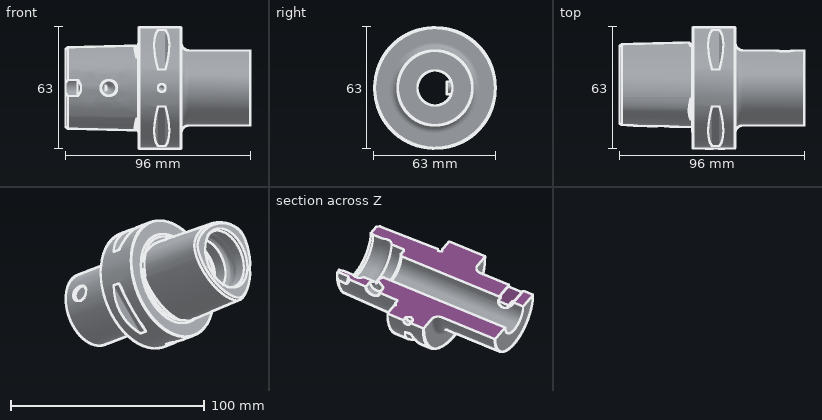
import cadquery as cq
import math


length = 96.0
front_x = -length / 2
back_x = length / 2
flange_front_x = -10.0
flange_back_x = 12.1

lobe_height = 1.6
lobe_count = 3
spline_steps = 8
shank_radius = 22.0
taper = 1 / 40
taper_end_x = -12.1
front_chamfer_length = 1.4
front_chamfer_depth = 1.1
neck_radius = 22.7

flange_radius = 31.5
flange_front_chamfer = 0.3
flange_back_chamfer = 0.5
boss_front_x = -10.4
boss_groove_depth = 0.5
boss_groove_width = 1.4

round_shank_radius = 19.5
round_shank_chamfer = 0.3
back_fillet_radius = 3.9

mouth_radius = 32.0 / 2
mouth_chamfer_depth = 1.9
lip_radius = 15.4
lip_depth = 7.3
gripper_groove_radius = 16.0
groove_start_depth = 9.9
groove_end_depth = 11.0
groove_fillet_radius = 2.0
entry_angle = math.radians(16)
exit_angle = math.radians(50)
socket_radius = 28.0 / 2
socket_corner = 0.5
floor_depth = 21.4
bore_radius = 18.0 / 2
bore_chamfer = 1.2

keyway_radius = 6.7
keyway_floor = 17.9
keyway_length = 6.4

blind_hole_x = -25.5
blind_hole_radius = 8.0 / 2
blind_hole_mouth_radius = 4.4
blind_hole_mouth = 20.1
blind_hole_wall_end = 15.7
drill_half_angle = math.radians(59)

rim_feature_x = 1.9
dimple_radius = 4.0 / 2
dimple_wall_end = 28.6
groove_floor = 27.9
groove_floor_width = 3.7
groove_flank_angle = math.radians(30)
groove_corner_radius = 0.5
groove_angles = (45, 135, 225, 315)

screw_x = 37.7
screw_diameter = 8.1
screw_hole_mouth_radius = 4.6
screw_point_diameter = 6.7
screw_point_chamfer = 0.3
screw_tip_y = 6.0
screw_shoulder_y = 9.6
screw_head_y = 18.2

cut_margin = 1.9


def revolve_about_x(profile):
    """Revolve a closed XY profile about the X axis."""
    return profile.close().revolve(360, (0, 0, 0), (1, 0, 0))


def revolve_about_y(profile):
    """Revolve a closed XY profile about the Y axis."""
    return profile.close().revolve(360, (0, 0, 0), (0, 1, 0))


def lobe_point(mean_radius, angle):
    """Point (Y, Z) where the normal of the polygon curve has this angle; one lobe points to +Y."""
    support = mean_radius + lobe_height * math.cos(lobe_count * angle)
    slope = -lobe_count * lobe_height * math.sin(lobe_count * angle)
    return (
        support * math.cos(angle) - slope * math.sin(angle),
        support * math.sin(angle) + slope * math.cos(angle),
    )


def lobed_wire(x, mean_radius):
    """Closed polygon curve in the plane at x, made of one edge per lobe and per flat."""
    span = math.pi / lobe_count
    edges = []
    for index in range(2 * lobe_count):
        start = (index - 0.5) * span
        angles = [start + step * span / spline_steps for step in range(spline_steps + 1)]
        edges.append(cq.Edge.makeSpline([cq.Vector(x, *lobe_point(mean_radius, a)) for a in angles]))
    return cq.Wire.assembleEdges(edges)


def lobed_section(start_x, start_radius, end_x, end_radius):
    """Solid between two polygon curves of different mean radius."""
    wires = [lobed_wire(start_x, start_radius), lobed_wire(end_x, end_radius)]
    return cq.Workplane(cq.Solid.makeLoft(wires, True))


def make_lobed_shank():
    """Tapered shank with a chamfered front edge, its lobes turned down to the neck radius."""
    chamfer_x = front_x + front_chamfer_length
    chamfer_radius = shank_radius - taper * (taper_end_x - chamfer_x)
    tip = lobed_section(front_x, chamfer_radius - front_chamfer_depth, chamfer_x, chamfer_radius)
    cone = lobed_section(chamfer_x, chamfer_radius, taper_end_x, shank_radius)
    neck = lobed_section(taper_end_x, shank_radius, flange_front_x, shank_radius)
    lobe_radius = shank_radius + lobe_height
    turning_limit = revolve_about_x(
        cq.Workplane("XY")
        .moveTo(taper_end_x, 0)
        .lineTo(taper_end_x, lobe_radius)
        .lineTo(taper_end_x + lobe_radius - neck_radius, neck_radius)
        .lineTo(flange_front_x, neck_radius)
        .lineTo(flange_front_x, 0)
    )
    return cone.union(tip).union(neck.intersect(turning_limit))


def make_flange_and_round_shank():
    """Turned part: low boss with a groove around it, flange, fillet and round shank."""
    back_fillet_x = flange_back_x + back_fillet_radius
    back_fillet_y = round_shank_radius + back_fillet_radius
    diagonal = back_fillet_radius * math.sqrt(0.5)
    return revolve_about_x(
        cq.Workplane("XY")
        .moveTo(boss_front_x, 0)
        .lineTo(boss_front_x, neck_radius)
        .threePointArc(
            (flange_front_x + boss_groove_depth, neck_radius + boss_groove_width / 2),
            (flange_front_x, neck_radius + boss_groove_width),
        )
        .lineTo(flange_front_x, flange_radius - flange_front_chamfer)
        .lineTo(flange_front_x + flange_front_chamfer, flange_radius)
        .lineTo(flange_back_x - flange_back_chamfer, flange_radius)
        .lineTo(flange_back_x, flange_radius - flange_back_chamfer)
        .lineTo(flange_back_x, back_fillet_y)
        .threePointArc(
            (back_fillet_x - diagonal, back_fillet_y - diagonal),
            (back_fillet_x, round_shank_radius),
        )
        .lineTo(back_x - round_shank_chamfer, round_shank_radius)
        .lineTo(back_x, round_shank_radius - round_shank_chamfer)
        .lineTo(back_x, 0)
    )


def make_bore():
    """Stepped through bore with a round-cornered gripper groove behind the front lip."""

    def groove_corner(depth, angle):
        """Point on a groove corner where the wall has turned by this angle from the groove bottom."""
        return (
            front_x + depth + groove_fillet_radius * math.sin(angle),
            gripper_groove_radius - groove_fillet_radius * (1 - math.cos(angle)),
        )

    exit_start = groove_corner(groove_end_depth, exit_angle)
    exit_end_x = exit_start[0] + (exit_start[1] - socket_radius) / math.tan(exit_angle)
    floor_x = front_x + floor_depth
    return revolve_about_x(
        cq.Workplane("XY")
        .moveTo(front_x, 0)
        .lineTo(front_x, mouth_radius)
        .lineTo(front_x + mouth_chamfer_depth, lip_radius)
        .lineTo(front_x + lip_depth, lip_radius)
        .lineTo(*groove_corner(groove_start_depth, -entry_angle))
        .threePointArc(
            groove_corner(groove_start_depth, -entry_angle / 2),
            groove_corner(groove_start_depth, 0),
        )
        .lineTo(*groove_corner(groove_end_depth, 0))
        .threePointArc(groove_corner(groove_end_depth, exit_angle / 2), exit_start)
        .lineTo(exit_end_x, socket_radius)
        .lineTo(floor_x - socket_corner, socket_radius)
        .lineTo(floor_x, socket_radius - socket_corner)
        .lineTo(floor_x, bore_radius + bore_chamfer)
        .lineTo(floor_x + bore_chamfer, bore_radius)
        .lineTo(back_x, bore_radius)
        .lineTo(back_x, 0)
    )


def make_keyway():
    """Round-bottomed keyway along X that ends in a 45 degree cone."""
    end_x = front_x + keyway_length
    profile = (
        cq.Workplane("XY")
        .moveTo(front_x, 0)
        .lineTo(front_x, keyway_radius)
        .lineTo(end_x, keyway_radius)
        .lineTo(end_x + keyway_radius, 0)
    )
    return revolve_about_x(profile).translate((0, -keyway_floor - keyway_radius, 0))


def make_blind_hole():
    """Drilled hole with a conical end and a 45 degree countersink."""
    tip = blind_hole_wall_end - blind_hole_radius / math.tan(drill_half_angle)
    outside = blind_hole_mouth + cut_margin
    profile = (
        cq.Workplane("XY")
        .moveTo(0, -tip)
        .lineTo(blind_hole_radius, -blind_hole_wall_end)
        .lineTo(blind_hole_radius, -blind_hole_mouth + blind_hole_mouth_radius - blind_hole_radius)
        .lineTo(blind_hole_mouth_radius, -blind_hole_mouth)
        .lineTo(blind_hole_mouth_radius, -outside)
        .lineTo(0, -outside)
    )
    return revolve_about_y(profile).translate((blind_hole_x, 0, 0))


def make_dimple():
    """Drilled dimple with a conical end in the flange rim."""
    outside = flange_radius + cut_margin
    profile = (
        cq.Workplane("XY")
        .moveTo(0, dimple_radius / math.tan(drill_half_angle) - dimple_wall_end)
        .lineTo(dimple_radius, -dimple_wall_end)
        .lineTo(dimple_radius, -outside)
        .lineTo(0, -outside)
    )
    return revolve_about_y(profile).translate((rim_feature_x, 0, 0))


def make_rim_groove(angle):
    """Straight V-groove across the flange rim, turned about the X axis to this angle from +Y."""
    half_floor = groove_floor_width / 2
    top = flange_radius + cut_margin
    half_top = half_floor + (top - groove_floor) * math.tan(groove_flank_angle)
    groove = (
        cq.Workplane("XY")
        .polyline([(-half_floor, groove_floor), (half_floor, groove_floor), (half_top, top), (-half_top, top)])
        .close()
        .extrude(flange_radius, both=True)
        .edges("|Z and <Y")
        .fillet(groove_corner_radius)
    )
    return groove.translate((rim_feature_x, 0, 0)).rotate((0, 0, 0), (1, 0, 0), angle)


def make_screw():
    """Clamping screw with a chamfered dog point that reaches into the bore."""
    radius = screw_diameter / 2
    point_radius = screw_point_diameter / 2
    profile = (
        cq.Workplane("XY")
        .moveTo(0, screw_tip_y)
        .lineTo(point_radius - screw_point_chamfer, screw_tip_y)
        .lineTo(point_radius, screw_tip_y + screw_point_chamfer)
        .lineTo(point_radius, screw_shoulder_y)
        .lineTo(radius, screw_shoulder_y)
        .lineTo(radius, screw_head_y)
        .lineTo(0, screw_head_y)
    )
    return revolve_about_y(profile).translate((screw_x, 0, 0))


def make_screw_hole():
    """Hole for the clamping screw, from the bore to a 45 degree countersink in the round shank."""
    radius = screw_diameter / 2
    outside = round_shank_radius + cut_margin
    profile = (
        cq.Workplane("XY")
        .lineTo(radius, 0)
        .lineTo(radius, round_shank_radius - screw_hole_mouth_radius + radius)
        .lineTo(screw_hole_mouth_radius, round_shank_radius)
        .lineTo(screw_hole_mouth_radius, outside)
        .lineTo(0, outside)
    )
    return revolve_about_y(profile).translate((screw_x, 0, 0))


def make_adapter():
    """The one-piece adapter with all its cuts."""
    body = make_lobed_shank().union(make_flange_and_round_shank())
    body = body.cut(make_bore()).cut(make_keyway())
    body = body.cut(make_blind_hole()).cut(make_dimple())
    for angle in groove_angles:
        body = body.cut(make_rim_groove(angle))
    return body.cut(make_screw_hole())


adapter = make_adapter()
clamping_screw = make_screw()

result = cq.Compound.makeCompound([adapter.val(), clamping_screw.val()])